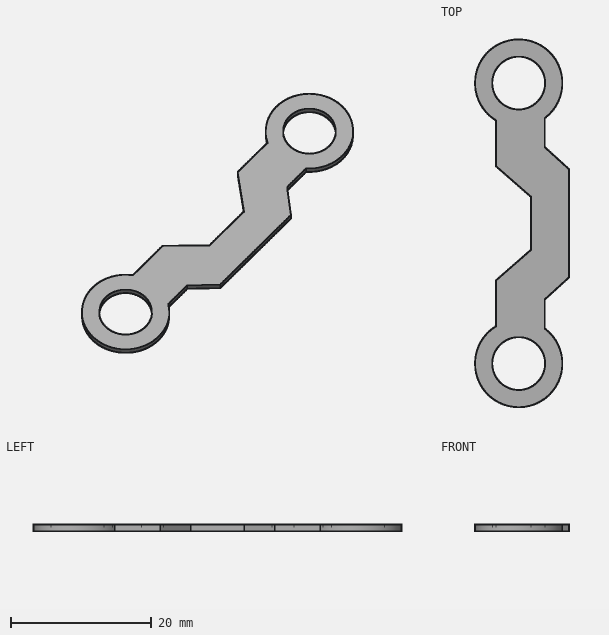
import cadquery as cq

length = 52.5
width = 13.45
thickness = 1.0

ring_diameter = 12.5
hole_diameter = 7.5
ring_offset = (length - ring_diameter) / 2

leg_left = -3.25
leg_right = 3.75
middle_left = 1.75
middle_right = width - ring_diameter / 2

left_inner_bend = 3.8
left_outer_bend = 8.15
right_inner_bend = 7.7
right_outer_bend = 10.85


def make_link():
    """Cranked strip joining the ring centres, symmetric about Y = 0."""
    upper_right = [
        (middle_right, right_inner_bend),
        (leg_right, right_outer_bend),
        (leg_right, ring_offset),
    ]
    upper_left = [
        (leg_left, ring_offset),
        (leg_left, left_outer_bend),
        (middle_left, left_inner_bend),
    ]
    upper_half = upper_right + upper_left
    lower_half = [(x, -y) for x, y in reversed(upper_half)]
    return cq.Workplane("XY").polyline(upper_half + lower_half).close().extrude(thickness)


def make_end_discs(diameter):
    """Two discs, one at each ring centre."""
    centres = [(0, -ring_offset), (0, ring_offset)]
    return cq.Workplane("XY").pushPoints(centres).circle(diameter / 2).extrude(thickness)


result = make_link().union(make_end_discs(ring_diameter)).cut(make_end_discs(hole_diameter))